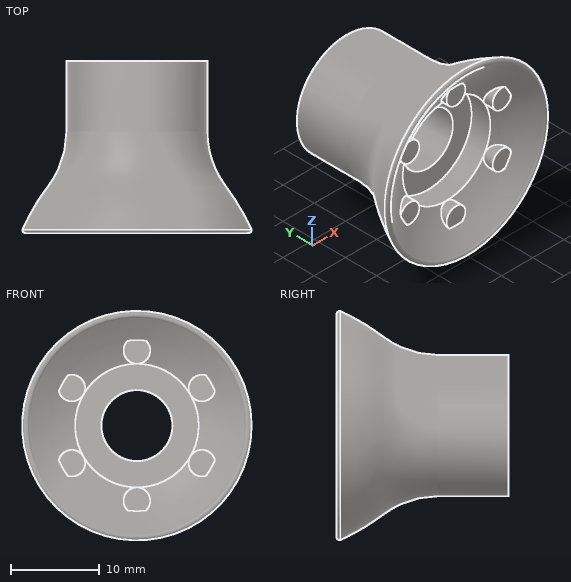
import cadquery as cq

rim_radius = 13.0
total_length = 19.5
back_y = total_length / 2

neck_radius = 8.0
neck_length = 8.0
waist_radius = 10.04
waist_depth = 14.12
rim_depth = 19.08
lip_inner_radius = 12.22
lip_inner_depth = 19.32

bore_radius = 4.0
recess_radius = 7.0
recess_floor_depth = 13.0
recess_rim_depth = 16.0

peg_count = 6
peg_radius = 1.5
peg_circle_radius = recess_radius + peg_radius
peg_end_depth = 17.5
peg_root_depth = 15.73

peg_trim_radius = 9.67


def at(radius, depth):
    """Profile point at a radius and a depth from the back face."""
    return radius, back_y - depth


def peg(angle):
    """Round peg parallel to the axis, rooted within the cup wall."""
    return (
        cq.Workplane("XZ", origin=(0, back_y - peg_root_depth, 0))
        .center(0, peg_circle_radius)
        .circle(peg_radius)
        .extrude(peg_end_depth - peg_root_depth)
        .rotate((0, 0, 0), (0, 1, 0), angle)
    )


bowl_start = at(lip_inner_radius, lip_inner_depth)
bowl_end = at(recess_radius, recess_rim_depth)
lip_middle = at((rim_radius + lip_inner_radius) / 2, total_length)
cup = (
    cq.Workplane("XY")
    .moveTo(*at(bore_radius, 0))
    .lineTo(*at(neck_radius, 0))
    .lineTo(*at(neck_radius, neck_length))
    .tangentArcPoint(at(waist_radius, waist_depth), relative=False)
    .tangentArcPoint(at(rim_radius, rim_depth), relative=False)
    .threePointArc(lip_middle, bowl_start)
    .threePointArc(at(peg_trim_radius, peg_end_depth), bowl_end)
    .lineTo(*at(recess_radius, recess_floor_depth))
    .lineTo(*at(bore_radius, recess_floor_depth))
    .close()
    .revolve(360, (0, 0, 0), (0, 1, 0))
)

result = cup
for index in range(peg_count):
    result = result.union(peg(index * 360 / peg_count))